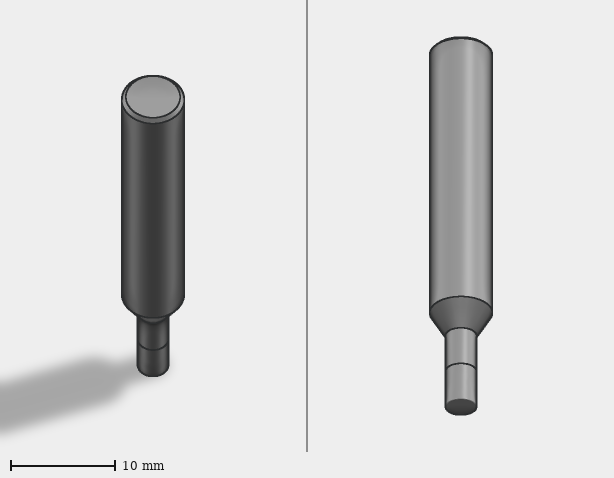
import cadquery as cq
import math

overall_length = 40.0
shank_diameter = 6.0
shank_chamfer = 0.4

cutting_diameter = 3.0
cutting_length = 4.0
neck_diameter = 3.0
reach = 8.0
cone_half_angle = 30.0
head_back_taper = 0.01
tip_corner_radius = 0.1

shank_radius = shank_diameter / 2
neck_radius = neck_diameter / 2
cutting_radius = cutting_diameter / 2
cone_length = (shank_radius - neck_radius) / math.tan(math.radians(cone_half_angle))

half_section = cq.Plane(origin=(0, 0, 0), xDir=(0, -1, 0), normal=(-1, 0, 0))


def turned(outline):
    """Revolve a (radius, height) outline around the Z axis."""
    return cq.Workplane(half_section).polyline(outline).close().revolve(360, (0, 0), (0, 1))


def make_shank():
    """Chamfered shank running down through a cone into the neck."""
    return turned([
        (0, cutting_length),
        (neck_radius, cutting_length),
        (neck_radius, reach),
        (shank_radius, reach + cone_length),
        (shank_radius, overall_length - shank_chamfer),
        (shank_radius - shank_chamfer, overall_length),
        (0, overall_length),
    ])


def make_cutting_head():
    """Plain envelope of the cutting edges, widest just above the rounded tip."""
    envelope = turned([
        (0, 0),
        (cutting_radius, 0),
        (cutting_radius - head_back_taper, cutting_length),
        (0, cutting_length),
    ])
    return envelope.faces("<Z").edges().fillet(tip_corner_radius)


shank = make_shank()
cutting_head = make_cutting_head()

result = cq.Compound.makeCompound([shank.val(), cutting_head.val()])